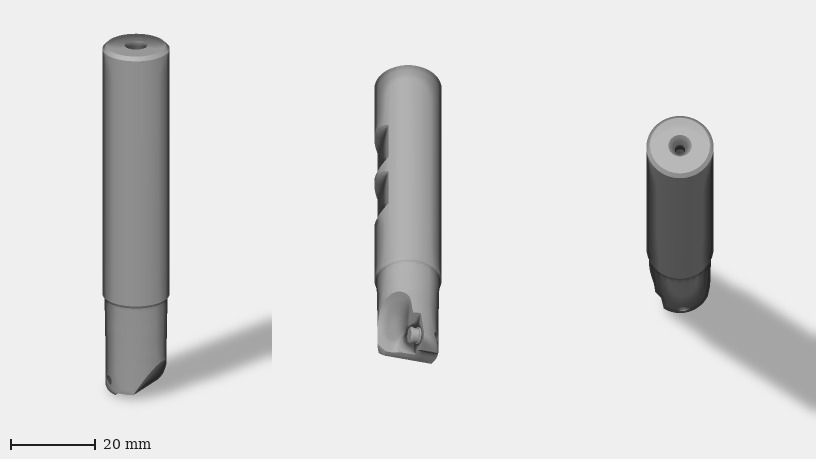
import cadquery as cq
import math

TOTAL_LENGTH = 87.55
SHANK_DIAMETER = 15.85
SHANK_RADIUS = SHANK_DIAMETER / 2
TOP_CHAMFER = 0.9
SHOULDER_Z = 24.25
NECK_TOP_Z = 23.55
NECK_TOP_RADIUS = 7.4
HEAD_TOP_Z = 9.2
HEAD_RADIUS = 7.2
NOSE_ROUNDING = 1.5

CENTRE_MOUTH_RADIUS = 2.7
CENTRE_DRILL_RADIUS = 1.2
CENTRE_DRILL_LENGTH = 2.6
CENTRE_CONE_HALF_ANGLE = 30.0
DRILL_TIP_HALF_ANGLE = 60.0

NOTCH_DEPTH = 1.8
NOTCH_FLOOR_LENGTH = 10.4
NOTCH_CENTRES_Z = (63.4, 48.3)

HEAD_BOTTOM_Z = 1.3
NOSE_END_X = -2.3
NOSE_FLANK_X = -0.5
BACK_RELIEF_BOTTOM_X = 3.1
BACK_RELIEF_TOP_Z = 8.6
SIDE_RELIEF_Y = 5.1

SEAT_TILT = 8.0
SEAT_Y = -1.9
SCREW_X = -3.85
SCREW_Z = 3.0

GULLET_WALL = 1.9
GULLET_FLOOR_X = 1.6
GULLET_FILLET = 4.0
GULLET_RUNOUT_START = 3.1
GULLET_RUNOUT_RADIUS = 9.0

POCKET_FLOOR_X = 0.7
POCKET_CORNER_RADIUS = 1.4
POCKET_CEILING = 3.5
POCKET_MOUTH_CEILING = 4.3
RECESS_RADIUS = 5.1
RECESS_CEILING = 2.2

STEM_RADIUS = 1.1
STEM_LENGTH = 2.5
COLLAR_RADIUS = 2.0
COLLAR_WIDTH = 0.7
COLLAR_CHAMFER = 0.3
WAIST_RADIUS = 1.75
SPOOL_LENGTH = 2.6

REACH = 3 * SHANK_RADIUS


def revolve_profile(points):
    """Solid of revolution about Z from (radius, z) points."""
    return cq.Workplane("XZ").polyline(points).close().revolve(360, (0, 0, 0), (0, 1, 0))


def seat_sketch(offset):
    """Workplane on the untilted seat, moved toward +Y; its origin is at the screw height, extruding to -Y."""
    origin = (0, SEAT_Y + offset, SCREW_Z)
    return cq.Workplane(cq.Plane(origin=origin, xDir=(1, 0, 0), normal=(0, -1, 0)))


def seat_y_at(z):
    """Y of the leaning seat plane at a height."""
    return SEAT_Y + (z - SCREW_Z) * math.tan(math.radians(SEAT_TILT))


def tilt_with_seat(tool):
    """Lean a shape about the X-direction line through the seat point."""
    return tool.rotate((0, SEAT_Y, SCREW_Z), (1, SEAT_Y, SCREW_Z), -SEAT_TILT)


def turned_blank():
    blank = revolve_profile([
        (0, 0),
        (HEAD_RADIUS, 0),
        (HEAD_RADIUS, HEAD_TOP_Z),
        (NECK_TOP_RADIUS, NECK_TOP_Z),
        (SHANK_RADIUS, SHOULDER_Z),
        (SHANK_RADIUS, TOTAL_LENGTH - TOP_CHAMFER),
        (SHANK_RADIUS - TOP_CHAMFER, TOTAL_LENGTH),
        (0, TOTAL_LENGTH),
    ])
    return blank.faces("<Z").edges().fillet(NOSE_ROUNDING)


def centre_drilling():
    cone_width = CENTRE_MOUTH_RADIUS - CENTRE_DRILL_RADIUS
    cone_depth = cone_width / math.tan(math.radians(CENTRE_CONE_HALF_ANGLE))
    tip_depth = CENTRE_DRILL_RADIUS / math.tan(math.radians(DRILL_TIP_HALF_ANGLE))
    cone_end = TOTAL_LENGTH - cone_depth
    drill_end = cone_end - CENTRE_DRILL_LENGTH
    return revolve_profile([
        (0, TOTAL_LENGTH),
        (CENTRE_MOUTH_RADIUS, TOTAL_LENGTH),
        (CENTRE_DRILL_RADIUS, cone_end),
        (CENTRE_DRILL_RADIUS, drill_end),
        (0, drill_end - tip_depth),
    ])


def clamping_notch(centre_z):
    floor_y = SHANK_RADIUS - NOTCH_DEPTH
    half_floor = NOTCH_FLOOR_LENGTH / 2
    half_mouth = half_floor + NOTCH_DEPTH
    profile = [
        (floor_y, centre_z - half_floor),
        (SHANK_RADIUS, centre_z - half_mouth),
        (SHANK_RADIUS, centre_z + half_mouth),
        (floor_y, centre_z + half_floor),
    ]
    return cq.Workplane("YZ").polyline(profile).close().extrude(REACH, both=True)


def nose_relief():
    """Clears the space below the head bottom and under the sloped +X relief, beside the nose."""
    profile = [
        (NOSE_END_X, 0),
        (NOSE_FLANK_X, HEAD_BOTTOM_Z),
        (BACK_RELIEF_BOTTOM_X, HEAD_BOTTOM_Z),
        (HEAD_RADIUS, BACK_RELIEF_TOP_Z),
        (REACH, BACK_RELIEF_TOP_Z),
        (REACH, 0),
    ]
    return cq.Workplane("XZ").polyline(profile).close().extrude(REACH, both=True)


def side_relief():
    """Removes the nose on the +Y side of the seat, and the 45 degree corner beyond it."""
    rise = REACH - SIDE_RELIEF_Y
    profile = [
        (seat_y_at(0), 0),
        (seat_y_at(HEAD_BOTTOM_Z), HEAD_BOTTOM_Z),
        (SIDE_RELIEF_Y, HEAD_BOTTOM_Z),
        (REACH, HEAD_BOTTOM_Z + rise),
        (REACH, 0),
    ]
    return cq.Workplane("YZ").polyline(profile).close().extrude(REACH, both=True)


def chip_gullet():
    runout_end = GULLET_RUNOUT_START + GULLET_RUNOUT_RADIUS
    runout_centre_x = GULLET_FLOOR_X - GULLET_RUNOUT_RADIUS
    diagonal = GULLET_RUNOUT_RADIUS * math.sqrt(0.5)
    tool = (
        seat_sketch(GULLET_WALL)
        .moveTo(-REACH, -REACH)
        .lineTo(GULLET_FLOOR_X, -REACH)
        .lineTo(GULLET_FLOOR_X, GULLET_RUNOUT_START)
        .threePointArc(
            (runout_centre_x + diagonal, GULLET_RUNOUT_START + diagonal),
            (runout_centre_x, runout_end),
        )
        .lineTo(-REACH, runout_end)
        .close()
        .extrude(-REACH)
    )
    floor_edge_middle = (GULLET_FLOOR_X, SEAT_Y + GULLET_WALL, SCREW_Z - REACH / 2)
    wall_edge = cq.selectors.NearestToPointSelector(floor_edge_middle)
    return tilt_with_seat(tool.edges(wall_edge).fillet(GULLET_FILLET))


def insert_pocket():
    pocket_depth = GULLET_WALL + GULLET_FILLET
    corner_x = POCKET_FLOOR_X - POCKET_CORNER_RADIUS
    corner_height = POCKET_CEILING - POCKET_CORNER_RADIUS
    diagonal = POCKET_CORNER_RADIUS * math.sqrt(0.5)
    pocket = (
        seat_sketch(0)
        .moveTo(-HEAD_RADIUS, -REACH)
        .lineTo(POCKET_FLOOR_X, -REACH)
        .lineTo(POCKET_FLOOR_X, corner_height)
        .threePointArc((corner_x + diagonal, corner_height + diagonal), (corner_x, POCKET_CEILING))
        .lineTo(-HEAD_RADIUS, POCKET_MOUTH_CEILING)
        .close()
        .extrude(-pocket_depth)
    )
    half_chord = math.sqrt(RECESS_RADIUS**2 - RECESS_CEILING**2)
    recess = (
        seat_sketch(0)
        .center(SCREW_X, 0)
        .moveTo(-half_chord, RECESS_CEILING)
        .threePointArc((0, -RECESS_RADIUS), (half_chord, RECESS_CEILING))
        .close()
        .extrude(-pocket_depth)
    )
    return tilt_with_seat(pocket.union(recess))


def screw_hole():
    return tilt_with_seat(seat_sketch(0).center(SCREW_X, 0).circle(STEM_RADIUS).extrude(HEAD_RADIUS))


def make_holder():
    body = turned_blank().cut(centre_drilling())
    for centre_z in NOTCH_CENTRES_Z:
        body = body.cut(clamping_notch(centre_z))
    for tool in (nose_relief(), side_relief(), chip_gullet(), insert_pocket(), screw_hole()):
        body = body.cut(tool)
    return body


def make_screw():
    """Stem in the seat hole, carrying a spool-shaped head that rests on the seat."""
    rim = COLLAR_RADIUS - COLLAR_CHAMFER
    profile = [
        (0, -STEM_LENGTH),
        (STEM_RADIUS, -STEM_LENGTH),
        (STEM_RADIUS, 0),
        (rim, 0),
        (COLLAR_RADIUS, COLLAR_CHAMFER),
        (COLLAR_RADIUS, COLLAR_WIDTH),
        (WAIST_RADIUS, COLLAR_WIDTH),
        (WAIST_RADIUS, SPOOL_LENGTH - COLLAR_WIDTH),
        (COLLAR_RADIUS, SPOOL_LENGTH - COLLAR_WIDTH),
        (COLLAR_RADIUS, SPOOL_LENGTH - COLLAR_CHAMFER),
        (rim, SPOOL_LENGTH),
        (0, SPOOL_LENGTH),
    ]
    upright = revolve_profile(profile)
    along_y = upright.rotate((0, 0, 0), (1, 0, 0), -90)
    return tilt_with_seat(along_y.translate((SCREW_X, SEAT_Y, SCREW_Z)))


holder = make_holder().solids()
screw = make_screw().solids()

result = cq.Compound.makeCompound([holder.val(), screw.val()])